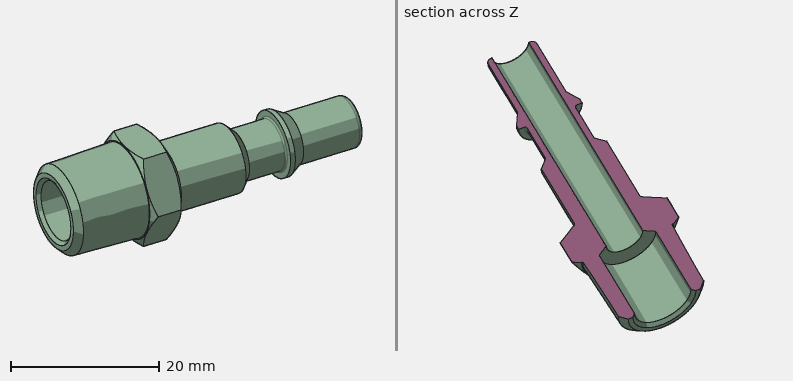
import cadquery as cq
import math


TOTAL_LENGTH = 46.0
HEX_START = 11.0
HEX_END = 17.0
COLLAR_END = 27.0
FLANGE_START = 34.0

THREAD_SMALL_DIA = 12.92
THREAD_TAPER = 1 / 16
THREAD_CHAMFER = 1.0

HEX_ACROSS_FLATS = 14.0
HEX_CHAMFER_ANGLE = 30.0
HEX_FACE_DIA = 13.9

COLLAR_DIA = 9.95
STEM_DIA = 7.4
STEM_END_ROUND = 0.7
FLANGE_DIA = 9.6
FLANGE_RIM_WIDTH = 0.75
FLANGE_CONE_ANGLE = 30.0
FLANGE_ROOT_RADIUS = 0.25

THROUGH_DIA = 5.5
BORE_DIA = 8.5
BORE_DEPTH = HEX_START
BORE_MOUTH_CHAMFER = 0.5
DRILL_POINT_ANGLE = 118.0

stem_radius = STEM_DIA / 2
collar_radius = COLLAR_DIA / 2
flange_radius = FLANGE_DIA / 2
hex_corner_radius = HEX_ACROSS_FLATS / math.sqrt(3)


def revolve_about_y(profile):
    """Turn a closed profile, drawn as (y, radius) points, about the Y axis."""
    return profile.close().revolve(360, (0, 0, 0), (1, 0, 0))


def make_thread_body():
    small_radius = THREAD_SMALL_DIA / 2
    large_radius = small_radius + THREAD_TAPER * (HEX_START - THREAD_CHAMFER) / 2
    profile = (
        cq.Workplane("YZ")
        .lineTo(0, small_radius - THREAD_CHAMFER)
        .lineTo(THREAD_CHAMFER, small_radius)
        .lineTo(HEX_START, large_radius)
        .lineTo(HEX_START, 0)
    )
    return revolve_about_y(profile)


def make_hexagon():
    """Hexagon with corners on X, bevelled by a cone at each end."""
    prism = (
        cq.Workplane("XZ", origin=(0, HEX_START, 0))
        .polygon(6, 2 * hex_corner_radius)
        .extrude(HEX_START - HEX_END)
    )
    slope = math.tan(math.radians(HEX_CHAMFER_ANGLE))
    face_radius = HEX_FACE_DIA / 2
    thread_side_bevel = (hex_corner_radius - face_radius) * slope
    plug_side_bevel = (hex_corner_radius - collar_radius) * slope
    envelope = (
        cq.Workplane("YZ")
        .moveTo(HEX_START, 0)
        .lineTo(HEX_START, face_radius)
        .lineTo(HEX_START + thread_side_bevel, hex_corner_radius)
        .lineTo(HEX_END - plug_side_bevel, hex_corner_radius)
        .lineTo(HEX_END, collar_radius)
        .lineTo(HEX_END, 0)
    )
    return prism.intersect(revolve_about_y(envelope))


def make_plug():
    """Collar, neck, catch flange and stem, turned in one piece."""
    neck_start = COLLAR_END + collar_radius - stem_radius
    rim_end = FLANGE_START + FLANGE_RIM_WIDTH
    cone_length = (flange_radius - stem_radius) / math.tan(math.radians(FLANGE_CONE_ANGLE))
    arc_sagitta = FLANGE_ROOT_RADIUS * (1 - math.sqrt(0.5))
    profile = (
        cq.Workplane("YZ")
        .moveTo(HEX_END, 0)
        .lineTo(HEX_END, collar_radius)
        .lineTo(COLLAR_END, collar_radius)
        .lineTo(neck_start, stem_radius)
        .lineTo(FLANGE_START - FLANGE_ROOT_RADIUS, stem_radius)
        .threePointArc(
            (FLANGE_START - arc_sagitta, stem_radius + arc_sagitta),
            (FLANGE_START, stem_radius + FLANGE_ROOT_RADIUS),
        )
        .lineTo(FLANGE_START, flange_radius)
        .lineTo(rim_end, flange_radius)
        .lineTo(rim_end + cone_length, stem_radius)
        .lineTo(TOTAL_LENGTH, stem_radius)
        .lineTo(TOTAL_LENGTH, 0)
    )
    return revolve_about_y(profile).faces(">Y").edges().fillet(STEM_END_ROUND)


def make_bore():
    """Chamfered bore with a drill-point bottom, running into the through hole."""
    bore_radius = BORE_DIA / 2
    through_radius = THROUGH_DIA / 2
    point_length = (bore_radius - through_radius) / math.tan(math.radians(DRILL_POINT_ANGLE / 2))
    profile = (
        cq.Workplane("YZ")
        .lineTo(0, bore_radius + BORE_MOUTH_CHAMFER)
        .lineTo(BORE_MOUTH_CHAMFER, bore_radius)
        .lineTo(BORE_DEPTH, bore_radius)
        .lineTo(BORE_DEPTH + point_length, through_radius)
        .lineTo(TOTAL_LENGTH, through_radius)
        .lineTo(TOTAL_LENGTH, 0)
    )
    return revolve_about_y(profile)


result = make_thread_body().union(make_hexagon()).union(make_plug()).cut(make_bore())